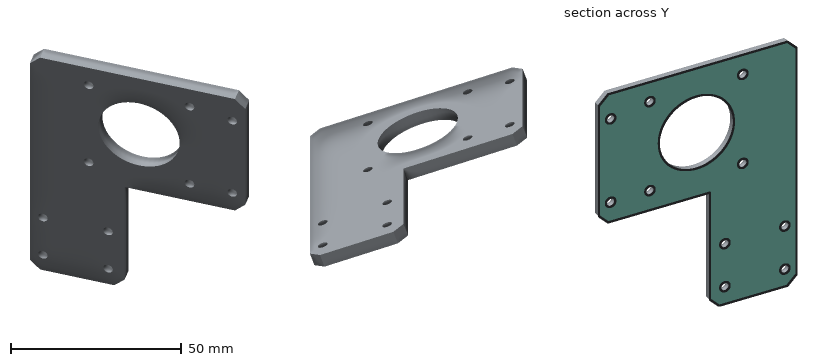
import cadquery as cq

width = 66.2
height = 85.2
thickness = 4.0
leg_width = 29.1
head_height = 44.8
corner_chamfer = 3.15

bore_diameter = 25.0
bore_x = 33.6
bore_z = height - head_height / 2
motor_hole_spacing = 31.0

screw_diameter = 3.0
edge_margin = 4.0
edge_hole_spacing = 29.05
edge_holes_z = height - 23.4
leg_hole_spacing_x = 20.0
leg_hole_spacing_z = 15.0
lowest_hole_z = 6.1


def plate():
    """L-shaped plate with every outer corner chamfered."""
    head_bottom = height - head_height
    c = corner_chamfer
    outline = [
        (c, 0),
        (leg_width - c, 0),
        (leg_width, c),
        (leg_width, head_bottom),
        (width - c, head_bottom),
        (width, head_bottom + c),
        (width, height - c),
        (width - c, height),
        (c, height),
        (0, height - c),
        (0, c),
    ]
    return cq.Workplane("XZ").polyline(outline).close().extrude(-thickness)


def hole_grid(center_x, center_z, spacing_x, spacing_z):
    """Corner positions of a rectangle of holes."""
    return [
        (center_x + side * spacing_x / 2, center_z + level * spacing_z / 2)
        for side in (-1, 1)
        for level in (-1, 1)
    ]


def through_holes(positions, diameter):
    """Cylinders that cut through the full plate thickness."""
    return cq.Workplane("XZ").pushPoints(positions).circle(diameter / 2).extrude(-thickness)


motor_holes = hole_grid(bore_x, bore_z, motor_hole_spacing, motor_hole_spacing)
edge_holes = [
    (width - edge_margin, edge_holes_z + level * edge_hole_spacing / 2)
    for level in (-1, 1)
]
leg_holes = hole_grid(
    edge_margin + leg_hole_spacing_x / 2,
    lowest_hole_z + leg_hole_spacing_z / 2,
    leg_hole_spacing_x,
    leg_hole_spacing_z,
)

result = (
    plate()
    .cut(through_holes([(bore_x, bore_z)], bore_diameter))
    .cut(through_holes(motor_holes + edge_holes + leg_holes, screw_diameter))
)